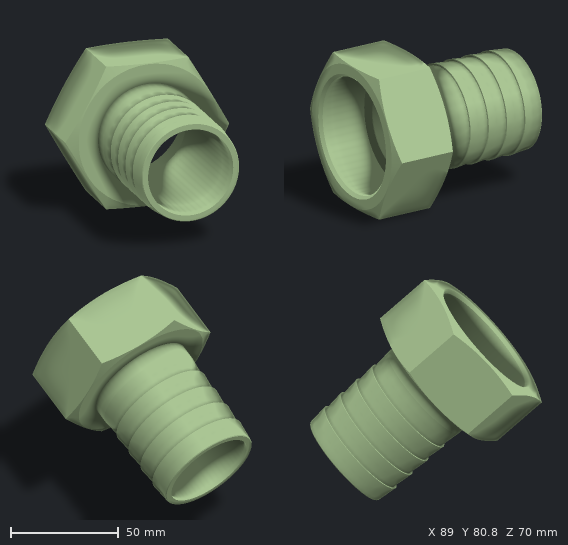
import cadquery as cq
import math

total_length = 89.0

nut_length = 32.0
across_flats = 70.0
across_corners = across_flats / math.cos(math.pi / 6)
corner_cone_end_radius = 34.6
corner_cone_angle = 20.0
thread_bore_radius = 28.3
thread_mouth_radius = 29.8
seat_depth = 28.0

through_bore_radius = 21.0
bore_edge_chamfer = 0.3
flange_radius = 28.0
flange_face = 24.0
barb_crest_radius = 25.0
barb_root_radius = 24.0
barb_count = 5
barb_pitch = 10.0
barb_root_width = 0.5
tip_chamfer = 0.4
barbs_start = total_length - barb_count * barb_pitch


def revolve_about_x(profile):
    """Turn a closed (axial, radial) profile on the XY plane around the X axis."""
    return profile.close().revolve(360, (0, 0, 0), (1, 0, 0))


def make_corner_cone_envelope():
    """Turned blank whose conical ends cut back the hexagon corners."""
    corner_radius = across_corners / 2
    cone_length = (corner_radius - corner_cone_end_radius) * math.tan(math.radians(corner_cone_angle))
    return revolve_about_x(
        cq.Workplane("XY")
        .moveTo(0, 0)
        .lineTo(0, corner_cone_end_radius)
        .lineTo(cone_length, corner_radius)
        .lineTo(nut_length - cone_length, corner_radius)
        .lineTo(nut_length, corner_cone_end_radius)
        .lineTo(nut_length, 0)
    )


def make_nut():
    """Hexagonal nut with chamfered corners and a countersunk bore ending in a lip around the neck."""
    hexagon = cq.Workplane("YZ").polygon(6, across_corners).extrude(nut_length)
    mouth_length = thread_mouth_radius - thread_bore_radius
    bore = revolve_about_x(
        cq.Workplane("XY")
        .moveTo(0, 0)
        .lineTo(0, thread_mouth_radius)
        .lineTo(mouth_length, thread_bore_radius)
        .lineTo(seat_depth, thread_bore_radius)
        .lineTo(seat_depth, barb_crest_radius)
        .lineTo(nut_length, barb_crest_radius)
        .lineTo(nut_length, 0)
    )
    return hexagon.intersect(make_corner_cone_envelope()).cut(bore)


def make_hose_tail():
    """Tube with a flange seated in the nut, a plain neck, and sawtooth barbs tapering to the free end."""
    profile = (
        cq.Workplane("XY")
        .moveTo(total_length, through_bore_radius)
        .lineTo(flange_face + bore_edge_chamfer, through_bore_radius)
        .lineTo(flange_face, through_bore_radius + bore_edge_chamfer)
        .lineTo(flange_face, flange_radius)
        .lineTo(seat_depth, flange_radius)
        .lineTo(seat_depth, barb_crest_radius)
        .lineTo(barbs_start, barb_crest_radius)
    )
    for index in range(barb_count - 1):
        next_start = barbs_start + (index + 1) * barb_pitch
        profile = (
            profile.lineTo(next_start - barb_root_width, barb_root_radius)
            .lineTo(next_start, barb_root_radius)
            .lineTo(next_start, barb_crest_radius)
        )
    profile = (
        profile.lineTo(total_length - tip_chamfer, barb_root_radius)
        .lineTo(total_length, barb_root_radius - tip_chamfer)
    )
    return revolve_about_x(profile)


nut = make_nut()
hose_tail = make_hose_tail()

result = cq.Compound.makeCompound([nut.val(), hose_tail.val()])